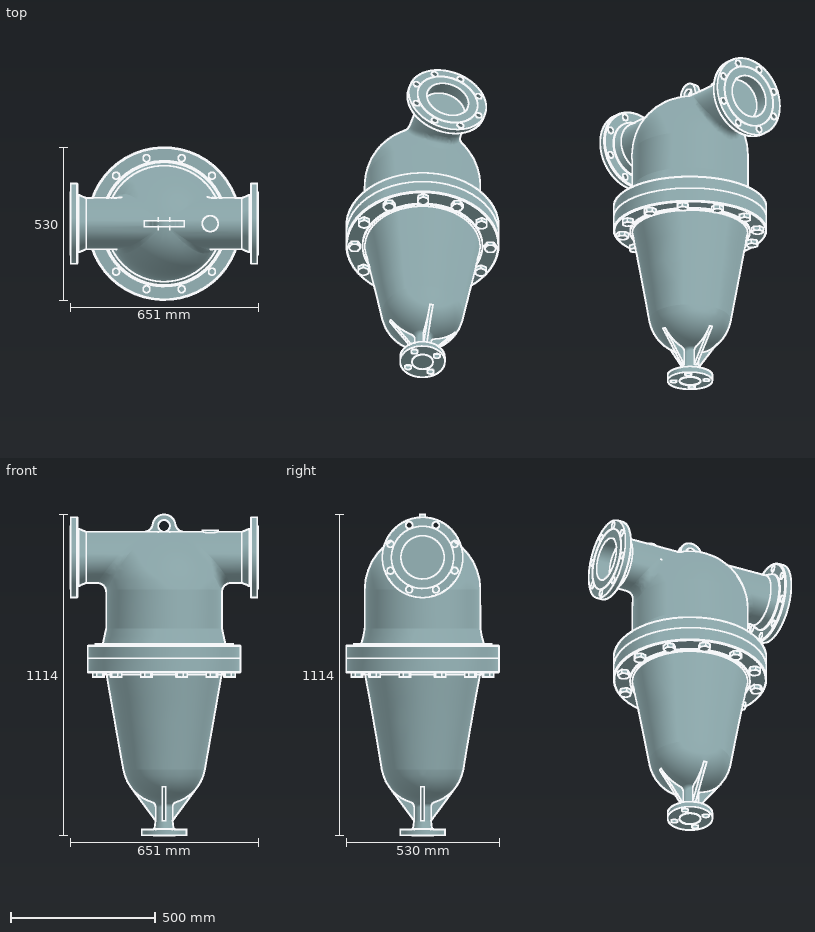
import cadquery as cq
import math


FACE_TO_FACE = 651.0
PIPE_RADIUS = 178.0 / 2
BORE_DIAMETER = 150.0
BORE_DEPTH = 50.0
PIPE_FLANGE_DIAMETER = 279.0
PIPE_FLANGE_THICKNESS = 24.0
RAISED_FACE_DIAMETER = 215.9
RAISED_FACE_HEIGHT = 2.0
COLLAR_RADIUS = 200.0 / 2
COLLAR_LENGTH = 4.0
HUB_LENGTH = 26.0
PIPE_BOLT_CIRCLE = 241.3
PIPE_BOLT_COUNT = 8
FLANGE_HOLE_DIAMETER = 23.0

SHELL_RADIUS = 402.0 / 2
DOME_CENTRE_Z = PIPE_RADIUS - SHELL_RADIUS
SKIRT_TOP_Z = -246.0
SKIRT_RADIUS = 214.0
PIPE_BLEND_RADIUS = 30.0
BLEND_START_X = 20.0

JOINT_Z = -350.0
JOINT_RADIUS = 530.0 / 2
UPPER_FLANGE_THICKNESS = 45.0
LOWER_FLANGE_THICKNESS = 50.0
FLANGE_CHAMFER = 3.0
UPPER_RING_RADIUS = 218.0
LOWER_RING_RADIUS = 208.0
RING_HEIGHT = 6.0
JOINT_BOLT_COUNT = 12
JOINT_BOLT_CIRCLE = 470.0
BOLT_DIAMETER = 24.0
BOLT_END_HEIGHT = 6.5
HEX_ACROSS_FLATS = 36.0
HEX_HEIGHT = 15.0
HEX_CHAMFER = 2.0
HEX_CORNER_RADIUS = HEX_ACROSS_FLATS / math.sqrt(3)

EYE_CENTRE_Z = 109.0
EYE_RADIUS = 40.0
EYE_HOLE_DIAMETER = 40.0
EYE_THICKNESS = 20.0
EYE_FOOT_RADIUS = 30.0
EYE_ROOT_DEPTH = 10.0
BOSS_X = 160.0
BOSS_DIAMETER = 55.0
BOSS_HEIGHT = 5.0

CONE_ANGLE = math.radians(10.0)
CAP_RADIUS = 144.0
CAP_CENTRE_Z = -710.0
NECK_RADIUS = 30.0
NECK_FILLET = 18.0
NECK_BOTTOM_Z = -912.0
DRAIN_HUB_RADIUS = 33.5
DRAIN_FACE_RADIUS = 73.0 / 2
DRAIN_FLANGE_DIAMETER = 156.0
DRAIN_FLANGE_THICKNESS = 21.0
DRAIN_BOTTOM_Z = -965.0
DRAIN_BOLT_CIRCLE = 114.3
DRAIN_BOLT_COUNT = 4
RIB_COUNT = 4
RIB_THICKNESS = 11.0

UPPER_FLANGE_TOP = JOINT_Z + UPPER_FLANGE_THICKNESS
PIPE_FLANGE_BACK = FACE_TO_FACE / 2 - RAISED_FACE_HEIGHT - PIPE_FLANGE_THICKNESS
LOWER_FLANGE_BOTTOM = JOINT_Z - LOWER_FLANGE_THICKNESS


def revolved(profile):
    """Turn a closed half profile, drawn as (radius, z), about the Z axis."""
    return profile.close().revolve(360, (0, 0, 0), (0, 1, 0))


def bolt_pattern(z, circle, count):
    """Points on a bolt circle at height z, straddling the X axis."""
    return cq.Workplane("XY", origin=(0, 0, z)).polarArray(circle / 2, 180 / count, 360, count)



def dome_shell():
    """Dome, cylinder and flared skirt down to the top of the joint flange."""
    apex_z = DOME_CENTRE_Z + SHELL_RADIUS
    diagonal = SHELL_RADIUS * math.sqrt(0.5)
    profile = (
        cq.Workplane("XZ")
        .moveTo(0, apex_z)
        .threePointArc((diagonal, DOME_CENTRE_Z + diagonal), (SHELL_RADIUS, DOME_CENTRE_Z))
        .lineTo(SHELL_RADIUS, SKIRT_TOP_Z)
        .lineTo(SKIRT_RADIUS, UPPER_FLANGE_TOP)
        .lineTo(0, UPPER_FLANGE_TOP)
    )
    return revolved(profile)


def pipe_and_dome():
    """Shell with the straight pipe through its dome and rounded blends where they meet.

    Pipe and dome touch tangentially at the apex, where the blend fades to nothing, so
    each blend is made on the part beyond BLEND_START_X from the vessel axis.
    """
    pipe = cq.Workplane("YZ").circle(PIPE_RADIUS).extrude(PIPE_FLANGE_BACK, both=True)
    joined = dome_shell().union(pipe)
    body = joined
    side_centre = BLEND_START_X + FACE_TO_FACE / 2
    for centre_x in (-side_centre, side_centre):
        side = cq.Workplane("XY", origin=(centre_x, 0, 0)).box(
            FACE_TO_FACE, FACE_TO_FACE, 2 * FACE_TO_FACE
        )
        rounded = joined.intersect(side).edges("%BSPLINE").fillet(PIPE_BLEND_RADIUS)
        body = body.union(rounded.cut(joined))
    return body


def outlet_flange():
    """Pipe flange at the +X end with its conical hub, short collar and raised face."""
    collar_back = PIPE_FLANGE_BACK - COLLAR_LENGTH
    flange_front = FACE_TO_FACE / 2 - RAISED_FACE_HEIGHT
    hub_start = collar_back - HUB_LENGTH
    return (
        cq.Workplane("XY")
        .moveTo(hub_start, 0)
        .lineTo(hub_start, PIPE_RADIUS)
        .lineTo(collar_back, COLLAR_RADIUS)
        .lineTo(PIPE_FLANGE_BACK, COLLAR_RADIUS)
        .lineTo(PIPE_FLANGE_BACK, PIPE_FLANGE_DIAMETER / 2 - FLANGE_CHAMFER)
        .lineTo(PIPE_FLANGE_BACK + FLANGE_CHAMFER, PIPE_FLANGE_DIAMETER / 2)
        .lineTo(flange_front, PIPE_FLANGE_DIAMETER / 2)
        .lineTo(flange_front, RAISED_FACE_DIAMETER / 2)
        .lineTo(FACE_TO_FACE / 2, RAISED_FACE_DIAMETER / 2)
        .lineTo(FACE_TO_FACE / 2, 0)
        .close()
        .revolve(360, (0, 0, 0), (1, 0, 0))
    )


def outlet_cuts():
    """Blind bore and flange bolt holes at the +X end."""
    end_face = cq.Workplane("YZ", origin=(FACE_TO_FACE / 2, 0, 0))
    bore = end_face.circle(BORE_DIAMETER / 2).extrude(-BORE_DEPTH)
    holes = (
        end_face.polarArray(PIPE_BOLT_CIRCLE / 2, 180 / PIPE_BOLT_COUNT, 360, PIPE_BOLT_COUNT)
        .circle(FLANGE_HOLE_DIAMETER / 2)
        .extrude(-(RAISED_FACE_HEIGHT + PIPE_FLANGE_THICKNESS))
    )
    return bore.union(holes)


def lifting_eye():
    """Upright plate with a round head and flared feet that run tangent into the pipe top."""
    foot_centre_z = PIPE_RADIUS + EYE_FOOT_RADIUS
    reach = EYE_RADIUS + EYE_FOOT_RADIUS
    rise = foot_centre_z - EYE_CENTRE_Z
    foot_x = math.sqrt(reach**2 - rise**2)
    touch_x = foot_x * EYE_RADIUS / reach
    touch_z = EYE_CENTRE_Z + rise * EYE_RADIUS / reach
    foot_angle = (math.pi + math.asin(rise / reach) + 1.5 * math.pi) / 2
    foot_mid_x = foot_x + EYE_FOOT_RADIUS * math.cos(foot_angle)
    foot_mid_z = foot_centre_z + EYE_FOOT_RADIUS * math.sin(foot_angle)
    root_z = PIPE_RADIUS - EYE_ROOT_DEPTH
    return (
        cq.Workplane("XZ")
        .moveTo(foot_x, root_z)
        .lineTo(foot_x, PIPE_RADIUS)
        .threePointArc((foot_mid_x, foot_mid_z), (touch_x, touch_z))
        .threePointArc((0, EYE_CENTRE_Z + EYE_RADIUS), (-touch_x, touch_z))
        .threePointArc((-foot_mid_x, foot_mid_z), (-foot_x, PIPE_RADIUS))
        .lineTo(-foot_x, root_z)
        .close()
        .extrude(EYE_THICKNESS / 2, both=True)
    )


def eye_hole():
    return (
        cq.Workplane("XZ", origin=(0, 0, EYE_CENTRE_Z))
        .circle(EYE_HOLE_DIAMETER / 2)
        .extrude(EYE_THICKNESS / 2, both=True)
    )


def plug_boss():
    """Round boss on top of the outlet pipe."""
    return (
        cq.Workplane("XY", origin=(BOSS_X, 0, 0))
        .circle(BOSS_DIAMETER / 2)
        .extrude(PIPE_RADIUS + BOSS_HEIGHT)
    )


def upper_flange():
    """Joint flange with the low ring round the skirt and the bolt ends standing above it."""
    disc = (
        cq.Workplane("XY", origin=(0, 0, JOINT_Z))
        .circle(JOINT_RADIUS)
        .extrude(UPPER_FLANGE_THICKNESS)
        .faces(">Z")
        .edges()
        .chamfer(FLANGE_CHAMFER)
    )
    ring = (
        cq.Workplane("XY", origin=(0, 0, UPPER_FLANGE_TOP))
        .circle(UPPER_RING_RADIUS)
        .extrude(RING_HEIGHT)
    )
    bolt_ends = (
        bolt_pattern(UPPER_FLANGE_TOP, JOINT_BOLT_CIRCLE, JOINT_BOLT_COUNT)
        .circle(BOLT_DIAMETER / 2)
        .extrude(BOLT_END_HEIGHT)
    )
    return disc.union(ring).union(bolt_ends)


def make_upper_body():
    body = pipe_and_dome().union(upper_flange()).union(plug_boss()).union(lifting_eye())
    body = body.union(outlet_flange()).union(outlet_flange().mirror("YZ"))
    return body.cut(outlet_cuts()).cut(outlet_cuts().mirror("YZ")).cut(eye_hole())



def cone_and_drain():
    """Cone running tangent into a spherical cap, then the drain neck, its flared hub and flange."""
    tangent_radius = CAP_RADIUS * math.cos(CONE_ANGLE)
    tangent_z = CAP_CENTRE_Z - CAP_RADIUS * math.sin(CONE_ANGLE)
    cone_top_radius = tangent_radius + (LOWER_FLANGE_BOTTOM - tangent_z) * math.tan(CONE_ANGLE)

    fillet_x = NECK_RADIUS + NECK_FILLET
    fillet_reach = CAP_RADIUS + NECK_FILLET
    fillet_z = CAP_CENTRE_Z - math.sqrt(fillet_reach**2 - fillet_x**2)
    cap_end = math.acos(fillet_x / fillet_reach)
    cap_mid = (CONE_ANGLE + cap_end) / 2
    cap_end_x = CAP_RADIUS * math.cos(cap_end)
    cap_end_z = CAP_CENTRE_Z - CAP_RADIUS * math.sin(cap_end)
    fillet_mid = (math.pi - cap_end + math.pi) / 2

    flange_bottom = DRAIN_BOTTOM_Z + RAISED_FACE_HEIGHT
    flange_top = flange_bottom + DRAIN_FLANGE_THICKNESS
    step_top = flange_top + RAISED_FACE_HEIGHT
    profile = (
        cq.Workplane("XZ")
        .moveTo(0, LOWER_FLANGE_BOTTOM)
        .lineTo(cone_top_radius, LOWER_FLANGE_BOTTOM)
        .lineTo(tangent_radius, tangent_z)
        .threePointArc(
            (CAP_RADIUS * math.cos(cap_mid), CAP_CENTRE_Z - CAP_RADIUS * math.sin(cap_mid)),
            (cap_end_x, cap_end_z),
        )
        .threePointArc(
            (fillet_x + NECK_FILLET * math.cos(fillet_mid), fillet_z + NECK_FILLET * math.sin(fillet_mid)),
            (NECK_RADIUS, fillet_z),
        )
        .lineTo(NECK_RADIUS, NECK_BOTTOM_Z)
        .lineTo(DRAIN_HUB_RADIUS, step_top)
        .lineTo(DRAIN_FACE_RADIUS, step_top)
        .lineTo(DRAIN_FACE_RADIUS, flange_top)
        .lineTo(DRAIN_FLANGE_DIAMETER / 2, flange_top)
        .lineTo(DRAIN_FLANGE_DIAMETER / 2, flange_bottom)
        .lineTo(DRAIN_FACE_RADIUS, flange_bottom)
        .lineTo(DRAIN_FACE_RADIUS, DRAIN_BOTTOM_Z)
        .lineTo(0, DRAIN_BOTTOM_Z)
    )
    return revolved(profile)


def drain_holes():
    return (
        bolt_pattern(DRAIN_BOTTOM_Z, DRAIN_BOLT_CIRCLE, DRAIN_BOLT_COUNT)
        .circle(FLANGE_HOLE_DIAMETER / 2)
        .extrude(RAISED_FACE_HEIGHT + DRAIN_FLANGE_THICKNESS)
    )


def drain_rib():
    """Triangular rib from the neck bottom whose sloping edge runs tangent to the cap."""
    depth = CAP_CENTRE_Z - NECK_BOTTOM_Z
    distance = math.hypot(NECK_RADIUS, depth)
    tangent_angle = math.atan2(-depth, NECK_RADIUS) + math.acos(CAP_RADIUS / distance)
    return (
        cq.Workplane("XZ")
        .moveTo(0, NECK_BOTTOM_Z)
        .lineTo(NECK_RADIUS, NECK_BOTTOM_Z)
        .lineTo(
            CAP_RADIUS * math.cos(tangent_angle),
            CAP_CENTRE_Z + CAP_RADIUS * math.sin(tangent_angle),
        )
        .lineTo(0, CAP_CENTRE_Z)
        .close()
        .extrude(RIB_THICKNESS / 2, both=True)
    )


def lower_flange():
    """Joint flange with the low ring round the cone and the hexagon bolt heads below it."""
    disc = (
        cq.Workplane("XY", origin=(0, 0, JOINT_Z))
        .circle(JOINT_RADIUS)
        .extrude(-LOWER_FLANGE_THICKNESS)
        .faces("<Z")
        .edges()
        .chamfer(FLANGE_CHAMFER)
    )
    ring = (
        cq.Workplane("XY", origin=(0, 0, LOWER_FLANGE_BOTTOM))
        .circle(LOWER_RING_RADIUS)
        .extrude(-RING_HEIGHT)
    )
    seats = bolt_pattern(LOWER_FLANGE_BOTTOM, JOINT_BOLT_CIRCLE, JOINT_BOLT_COUNT)
    hexagons = seats.polygon(6, 2 * HEX_CORNER_RADIUS).extrude(-HEX_HEIGHT)
    rounding = seats.circle(HEX_CORNER_RADIUS).extrude(-HEX_HEIGHT).faces("<Z").edges().chamfer(HEX_CHAMFER)
    bolt_heads = hexagons.intersect(rounding)
    return disc.union(ring).union(bolt_heads)


def make_lower_body():
    body = cone_and_drain().union(lower_flange()).cut(drain_holes())
    for i in range(RIB_COUNT):
        rib = drain_rib().rotate((0, 0, 0), (0, 0, 1), i * 360 / RIB_COUNT)
        body = body.union(rib)
    return body


upper_body = make_upper_body()
lower_body = make_lower_body()

result = cq.Compound.makeCompound([upper_body.solids().val(), lower_body.solids().val()])